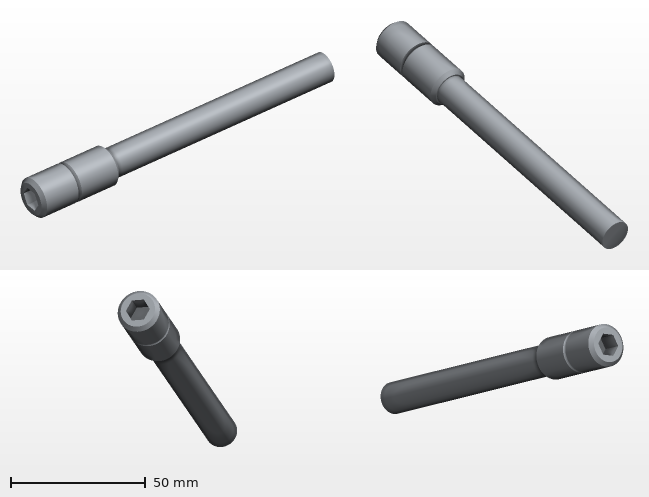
import cadquery as cq
import math

total_length = 136.0
head_diameter = 16.0
screw_length = 16.0
collar_length = 19.9
rod_diameter = 12.0
chamfer = 1.5
hex_across_flats = 7.9
hex_depth = 8.0

collar_end = screw_length + collar_length
rod_length = total_length - collar_end
hex_across_corners = hex_across_flats / math.cos(math.pi / 6)


def plane_at(y):
    """Plane across the axis at the given Y, with its normal along +Y."""
    return cq.Plane(origin=(0, y, 0), xDir=(1, 0, 0), normal=(0, 1, 0))


def cylinder(y_start, diameter, length):
    """Cylinder on the common axis, extending toward +Y."""
    return cq.Workplane(plane_at(y_start)).circle(diameter / 2).extrude(length)


def make_screw():
    """Set screw with a chamfered front end and a blind hexagon socket."""
    body = cylinder(0, head_diameter, screw_length).faces("<Y").chamfer(chamfer)
    socket = cq.Workplane(plane_at(0)).polygon(6, hex_across_corners).extrude(hex_depth)
    return body.cut(socket)


def make_pin():
    """Plain rod with a larger collar, chamfered at both ends, against the screw."""
    collar = cylinder(screw_length, head_diameter, collar_length).faces("<Y or >Y").chamfer(chamfer)
    rod = cylinder(collar_end, rod_diameter, rod_length)
    return collar.union(rod)


screw = make_screw()
pin = make_pin()

result = cq.Compound.makeCompound([screw.val(), pin.val()])